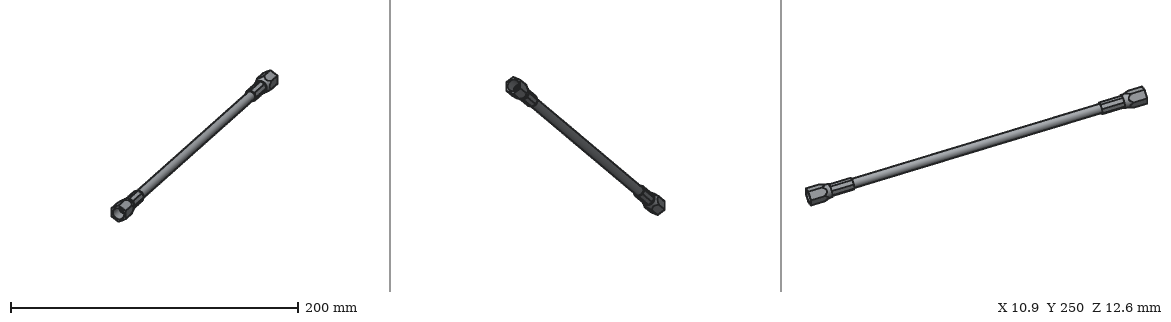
import cadquery as cq
import math

length = 250.0

mouth_diameter = 8.5
mouth_bores = [(mouth_diameter, 10.0), (6.8, 12.0), (5.0, 14.0)]

nut_wall = 1.2
nut_flats = mouth_diameter + 2 * nut_wall
nut_corners = nut_flats / math.cos(math.pi / 6)
cone_start = 10.0
nut_end = 14.8
nut_nose_diameter = 9.8

collar_end = 16.2

ferrule_corners = 8.8
ferrule_end = 32.8
hose_diameter = 6.8


def section(start):
    """Workplane across the Y axis at a distance inward from the -Y end, extruding toward +Y."""
    return cq.Workplane(cq.Plane((0, start - length / 2, 0), (0, 0, 1), (0, 1, 0)))


def rod(diameter, start, end):
    return section(start).circle(diameter / 2).extrude(end - start)


def prism(sides, corners, start, end):
    """Regular prism with one corner on the Z axis."""
    return section(start).polygon(sides, corners).extrude(end - start)


def make_nut():
    """Hex nut whose back is turned to a cone, scalloping the flats."""
    hexagon = prism(6, nut_corners, 0, nut_end)
    cone = (
        section(cone_start)
        .circle(nut_corners / 2)
        .workplane(offset=nut_end - cone_start)
        .circle(nut_nose_diameter / 2)
        .loft()
    )
    return hexagon.intersect(rod(nut_corners, 0, cone_start).union(cone))


def make_fitting():
    fitting = make_nut()
    fitting = fitting.union(rod(nut_nose_diameter, nut_end, collar_end))
    fitting = fitting.union(prism(8, ferrule_corners, collar_end, ferrule_end))
    for diameter, depth in mouth_bores:
        fitting = fitting.cut(rod(diameter, 0, depth))
    return fitting


fitting = make_fitting()
hose = rod(hose_diameter, ferrule_end, length - ferrule_end)
result = hose.union(fitting).union(fitting.mirror("XZ"))